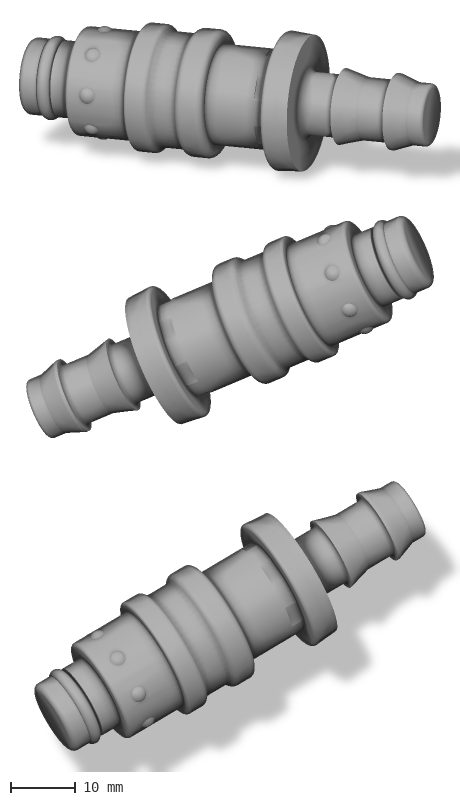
import cadquery as cq
import math


nose_radius = 11.95 / 2
nose_fillet = 1.0
ring_tube_radius = 2.0 / 2
ring_centre_radius = 11.05 / 2
groove_start = 3.0
groove_end = 5.35
groove_floor_radius = ring_centre_radius - ring_tube_radius

collar_start = 8.5
collar_radius = 17 / 2
collar_fillet = 0.6
dome_x = 12.1
dome_base_radius = 1.2
dome_height = 0.5
dome_count = 8
dome_turn = 2.5

grip_start = 18.5
grip_end = 31.0
lip_radius = 20.0 / 2
waist_radius = 18.0 / 2
front_lip_fillet = 0.45
rear_lip_fillet = 1.05
front_lip_flat_end = 21.3
waist_start = 23.05
waist_end = 26.0
rear_lip_flat_start = 27.75
front_bend_share = 0.45
rear_bend_share = 0.4

sleeve_radius = 15.7 / 2
relief_start = 40.55
relief_radius = 15.6 / 2
flats_start = 38.9
flat_distance = 7.6
flat_count = 6

flange_start = 40.95
flange_end = 45.25
flange_radius = 21.75 / 2
flange_end_radius = 21.15 / 2
flange_fillet = 0.6

tail_end = 65.3
tail_radius = 9.8 / 2
tail_root_fillet = 0.9
tail_end_fillet = 0.6
barb_radius = 11.95 / 2
barb_root_fillet = 0.4
first_barb_start = 50.8
first_barb_end = 54.65
second_barb_start = 59.2
second_barb_crest_end = 59.75
second_barb_end = 62.75


def fillet_to(outline, corner, start_step, end_step):
    """Round a square corner: line to the arc start, then a quarter arc.

    The steps are the (x, r) offsets from the corner to the two arc ends.
    """
    x, r = corner
    start = (x + start_step[0], r + start_step[1])
    end = (x + end_step[0], r + end_step[1])
    bow = 1 - math.sqrt(0.5)
    middle = (
        x + bow * (start_step[0] + end_step[0]),
        r + bow * (start_step[1] + end_step[1]),
    )
    return outline.lineTo(*start).threePointArc(middle, end)


def outer_corner(outline, x, r, size):
    """Convex fillet from a face rising at x onto a cylinder of radius r."""
    return fillet_to(outline, (x, r), (0, -size), (size, 0))


def trailing_corner(outline, x, r, size):
    """Convex fillet from a cylinder of radius r down a face at x."""
    return fillet_to(outline, (x, r), (-size, 0), (0, -size))


def lip_slope(outline, start, end, first_share):
    """S-shaped slope of two tangent arcs that is level at both ends."""
    bend = tuple(a + first_share * (b - a) for a, b in zip(start, end))
    outline = outline.lineTo(*start)
    outline = outline.tangentArcPoint(bend, relative=False)
    return outline.tangentArcPoint(end, relative=False)


def nose_and_collar_outline(outline):
    outline = outer_corner(outline, 0, nose_radius, nose_fillet)
    outline = (
        outline.lineTo(groove_start, nose_radius)
        .lineTo(groove_start, groove_floor_radius)
        .lineTo(groove_end, groove_floor_radius)
        .lineTo(groove_end, nose_radius)
        .lineTo(collar_start, nose_radius)
    )
    outline = outer_corner(outline, collar_start, collar_radius, collar_fillet)
    return outline.lineTo(grip_start, collar_radius)


def grip_outline(outline):
    outline = outer_corner(outline, grip_start, lip_radius, front_lip_fillet)
    front_lip_edge = (front_lip_flat_end, lip_radius)
    rear_lip_edge = (rear_lip_flat_start, lip_radius)
    outline = lip_slope(outline, front_lip_edge, (waist_start, waist_radius), front_bend_share)
    outline = lip_slope(outline, (waist_end, waist_radius), rear_lip_edge, rear_bend_share)
    return trailing_corner(outline, grip_end, lip_radius, rear_lip_fillet)


def sleeve_and_flange_outline(outline):
    outline = (
        outline.lineTo(grip_end, sleeve_radius)
        .lineTo(relief_start, sleeve_radius)
        .lineTo(relief_start, relief_radius)
        .lineTo(flange_start, relief_radius)
    )
    outline = outer_corner(outline, flange_start, flange_radius, flange_fillet)
    return outline.lineTo(flange_end, flange_end_radius)


def tail_outline(outline):
    root = tail_root_fillet
    barb_root = barb_root_fillet
    outline = fillet_to(outline, (flange_end, tail_radius), (0, root), (root, 0))
    outline = fillet_to(outline, (first_barb_start, tail_radius), (-barb_root, 0), (0, barb_root))
    outline = outline.lineTo(first_barb_start, barb_radius).lineTo(first_barb_end, tail_radius)
    outline = fillet_to(outline, (second_barb_start, tail_radius), (-barb_root, 0), (0, barb_root))
    outline = (
        outline.lineTo(second_barb_start, barb_radius)
        .lineTo(second_barb_crest_end, barb_radius)
        .lineTo(second_barb_end, tail_radius)
    )
    return trailing_corner(outline, tail_end, tail_radius, tail_end_fillet)


def make_turned_blank():
    outline = cq.Workplane("XY").moveTo(0, 0)
    outline = nose_and_collar_outline(outline)
    outline = grip_outline(outline)
    outline = sleeve_and_flange_outline(outline)
    outline = tail_outline(outline)
    return outline.lineTo(tail_end, 0).close().revolve(360, (0, 0, 0), (1, 0, 0))


def add_domes(body):
    sphere_radius = (dome_base_radius**2 + dome_height**2) / (2 * dome_height)
    centre_distance = collar_radius + dome_height - sphere_radius
    dome = cq.Workplane("XY").sphere(sphere_radius).translate((dome_x, centre_distance, 0))
    for index in range(dome_count):
        angle = index * 360 / dome_count - dome_turn
        body = body.union(dome.rotate((0, 0, 0), (1, 0, 0), angle))
    return body


def cut_flats(body):
    length = flange_start - flats_start
    depth = sleeve_radius - flat_distance
    cutter = cq.Workplane("XY").box(length, sleeve_radius, depth, centered=(False, True, False))
    cutter = cutter.translate((flats_start, 0, flat_distance))
    for index in range(flat_count):
        angle = index * 360 / flat_count
        body = body.cut(cutter.rotate((0, 0, 0), (1, 0, 0), angle))
    return body


def make_connector():
    return cut_flats(add_domes(make_turned_blank()))


def make_o_ring():
    """O-ring resting on the groove floor and against the groove's front wall."""
    return (
        cq.Workplane("XY")
        .center(groove_start + ring_tube_radius, ring_centre_radius)
        .circle(ring_tube_radius)
        .revolve(360, (0, -ring_centre_radius, 0), (1, -ring_centre_radius, 0))
    )


connector = make_connector().solids()
o_ring = make_o_ring()
result = cq.Compound.makeCompound([connector.val(), o_ring.val()])